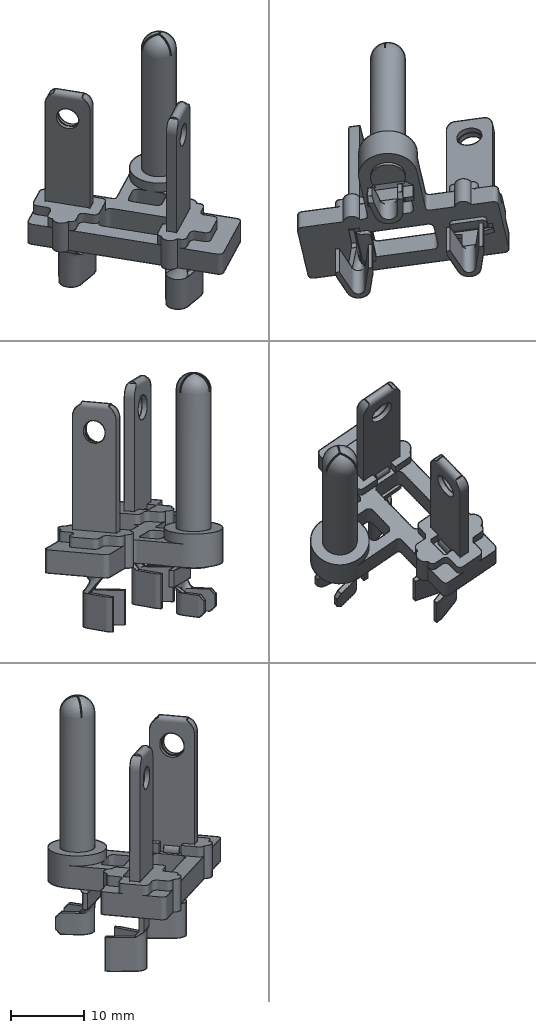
import cadquery as cq
import math

PLATE_LENGTH = 27.8
PLATE_DEPTH = 9.35
PLATE_TOP = 3.25
PAD_TOP = 4.7
CORNER_RADIUS = 0.7
ARM_FILLET = 0.5
WINDOW_LENGTH = 9.05
WINDOW_DEPTH = 4.55
WINDOW_Y = -0.07
LOBE_RADIUS = 1.23
LOBE_REACH = 5.45
LOBE_XS = (-9.1, 6.35)
PAD_BAR_HALF_DEPTH = 2.15
LEFT_COLUMN_HALF_WIDTH = 2.0
RIGHT_COLUMN_WIDTH = 4.15
RIGHT_PAD_LENGTH = 6.8

PIN_Y = 11.83
PIN_RADIUS = 2.4
PIN_TOP = 26.37
PIN_BOTTOM = -0.5
COLLAR_RADIUS = 4.0
ARM_WINDOW_DEPTH = 3.2
FLAG_WIDTH = 6.4
FLAG_TOP = -0.77
FLAG_BOTTOM = -3.12
FLAG_ROOT_DEPTH = 1.45
FLAG_NECK_WIDTH = 4.05
GROOVE_ANGLES = (90, 210, 330)
GROOVE_WIDTH = 0.15
GROOVE_DEPTH = 0.1
GROUND_CRIMP_TOP = -4.15
GROUND_CRIMP_BOTTOM = -7.25
GROUND_CRIMP_CHAMFER = 0.7

SHEET = 0.75
BLADE_WIDTH = 6.4
BLADE_TOP = 22.58
BLADE_FOLD_RADIUS = 0.7
FOLD_WIDTH = 4.07
SHOULDER_DROP = 0.25
SHOULDER_BASE_DROP = 2.07
NECK_LAYER_HOLE_DIAMETER = 3.15
TAB_LAYER_HOLE_DIAMETER = 3.45
BLADE_HOLE_Z = 18.6
FOOT_EDGE_Z = -0.2
FOOT_BOTTOM = -0.63
NECK_WIDTH = 2.35
TAB_WIDTH = 5.13
TAB_THICKNESS = 0.7
TAB_BEND_START = 0.15
TAB_BEND_RADIUS = 1.05
TAB_CORNER_RADIUS = 0.6
TAB_REACH = 2.15
CATCH_WIDTH = 2.2
CATCH_DEPTH = 0.4
CATCH_TOP = 4.2
CATCH_RADIUS = 1.02
POCKET_WIDTH = 3.15
POCKET_REACH = 2.18
POCKET_RADIUS = 0.3
BLADE_CRIMP_TOP = -3.9
BLADE_CRIMP_BOTTOM = -8.75

LEFT_BLADE = dict(x=-9.3, y=0.1, turn=0, neck_bottom=-3.1, crimp_y=-0.63)
RIGHT_BLADE = dict(x=6.25, y=0.0, turn=90, neck_bottom=-1.6, crimp_y=-1.8)

BLADE_CRIMP = dict(radius=1.65, flare=17, bend=4.32, depth=5.13)
GROUND_CRIMP = dict(radius=1.95, flare=10.6, bend=4.07, depth=4.8)


def block(x0, x1, y0, y1, z0, z1):
    return cq.Workplane("XY").box(x1 - x0, y1 - y0, z1 - z0, centered=False).translate((x0, y0, z0))


def placed(shape, blade):
    """Moves a shape from the blade's own axes to its place in the frame."""
    return shape.rotate((0, 0, 0), (0, 0, 1), blade["turn"]).translate((blade["x"], blade["y"], 0))


def u_point(radius, flare, side):
    """Point where the round bottom of a U meets its flared arm, from the centre of the arc."""
    angle = math.radians(flare)
    return (side * radius * math.cos(angle), -radius * math.sin(angle))


def crimp_channel(crimp, top, bottom):
    """U channel open towards +Y, with the lowest point of the U at Y = 0."""
    radius, flare = crimp["radius"], crimp["flare"]
    inner_radius = radius - SHEET
    slope = math.tan(math.radians(flare))
    bend_y = crimp["bend"] - radius
    tip_y = crimp["depth"] - radius
    outer_x, outer_y = u_point(radius, flare, 1)
    inner_x, inner_y = u_point(inner_radius, flare, 1)
    bend_x = outer_x + (bend_y - outer_y) * slope
    inner_tip_x = inner_x + (tip_y - inner_y) * slope
    return (
        cq.Workplane("XY", origin=(0, radius, bottom))
        .moveTo(-outer_x, outer_y)
        .threePointArc((0, -radius), (outer_x, outer_y))
        .lineTo(bend_x, bend_y)
        .lineTo(bend_x, tip_y)
        .lineTo(inner_tip_x, tip_y)
        .lineTo(inner_x, inner_y)
        .threePointArc((0, -inner_radius), (-inner_x, inner_y))
        .lineTo(-inner_tip_x, tip_y)
        .lineTo(-bend_x, tip_y)
        .lineTo(-bend_x, bend_y)
        .close()
        .extrude(top - bottom)
    )


def ruled_blend(lower_edges, upper_edges):
    """Solid between two closed outlines, with a ruled face between each pair of matching edges."""
    faces = [cq.Face.makeRuledSurface(low, high) for low, high in zip(lower_edges, upper_edges)]
    for edges in (lower_edges, upper_edges):
        faces.append(cq.Face.makeFromWires(cq.Wire.assembleEdges(edges)))
    return cq.Workplane(cq.Solid.makeSolid(cq.Shell.makeShell(faces)))


def closed_lines(corners, z):
    """Straight edges joining the corners in turn and back to the first."""
    points = [cq.Vector(x, y, z) for x, y in corners]
    return [cq.Edge.makeLine(start, end) for start, end in zip(points, points[1:] + points[:1])]


def crimp_throat(crimp, place, top, strip, strip_z):
    """Blend from the round bottom of a crimp to a flat strip, given by its four corners."""
    radius = crimp["radius"]
    inner_radius = radius - SHEET
    x, y = place

    def at(point):
        return cq.Vector(x + point[0], y + radius + point[1], top)

    outer_left, outer_right = [at(u_point(radius, crimp["flare"], side)) for side in (-1, 1)]
    inner_left, inner_right = [at(u_point(inner_radius, crimp["flare"], side)) for side in (-1, 1)]
    arc_band = [
        cq.Edge.makeThreePointArc(outer_left, at((0, -radius)), outer_right),
        cq.Edge.makeLine(outer_right, inner_right),
        cq.Edge.makeThreePointArc(inner_right, at((0, -inner_radius)), inner_left),
        cq.Edge.makeLine(inner_left, outer_left),
    ]
    return ruled_blend(arc_band, closed_lines(strip, strip_z))


def raised_cross(x0, x1, column_x0, column_x1):
    """Raised pad: a bar along X crossed by a column as deep as the plate, corners rounded."""
    half = PLATE_DEPTH / 2
    bar = block(x0, x1, -PAD_BAR_HALF_DEPTH, PAD_BAR_HALF_DEPTH, 0, PAD_TOP)
    column = block(column_x0, column_x1, -half, half, 0, PAD_TOP)
    return bar.union(column).clean().edges("|Z").fillet(CORNER_RADIUS)


def frame_arm():
    """Arm from the plate to the ground-pin collar, with fillets in the corners at the plate."""
    edge_y = PLATE_DEPTH / 2
    arm = block(-COLLAR_RADIUS, COLLAR_RADIUS, 0, PIN_Y, 0, PLATE_TOP)
    collar = cq.Workplane("XY").center(0, PIN_Y).circle(COLLAR_RADIUS).extrude(PAD_TOP)
    for side in (-1, 1):
        corner_fill = (
            cq.Workplane("XY")
            .moveTo(side * COLLAR_RADIUS, edge_y)
            .lineTo(side * (COLLAR_RADIUS + ARM_FILLET), edge_y)
            .radiusArc((side * COLLAR_RADIUS, edge_y + ARM_FILLET), side * ARM_FILLET)
            .close()
            .extrude(PLATE_TOP)
        )
        arm = arm.union(corner_fill)
    return arm.union(collar)


def blade_slot(blade):
    """Slot for the folded blade, and the shallow pocket beside it for the catch."""
    half = BLADE_WIDTH / 2
    slot = block(-half, half, -SHEET, SHEET, 0, PAD_TOP)
    pocket = block(-POCKET_WIDTH / 2, POCKET_WIDTH / 2, 0, POCKET_REACH, PLATE_TOP, PAD_TOP)
    pocket = pocket.edges("|Z and >Y").fillet(POCKET_RADIUS)
    return placed(slot.union(pocket), blade)


def build_frame():
    half_length, half_window = PLATE_LENGTH / 2, WINDOW_LENGTH / 2
    plate = cq.Workplane("XY").box(PLATE_LENGTH, PLATE_DEPTH, PLATE_TOP, centered=(True, True, False))
    frame = plate.edges("|Z").fillet(CORNER_RADIUS).union(frame_arm())

    left_x = LOBE_XS[0]
    left_columns = (left_x - LEFT_COLUMN_HALF_WIDTH, left_x + LEFT_COLUMN_HALF_WIDTH)
    frame = frame.union(raised_cross(-half_length, -half_window, *left_columns))
    right_columns = (half_window, half_window + RIGHT_COLUMN_WIDTH)
    frame = frame.union(raised_cross(half_window, half_window + RIGHT_PAD_LENGTH, *right_columns))

    lobe_y = LOBE_REACH - LOBE_RADIUS
    lobe_centres = [(x, side * lobe_y) for x in LOBE_XS for side in (-1, 1)]
    frame = frame.union(cq.Workplane("XY").pushPoints(lobe_centres).circle(LOBE_RADIUS).extrude(PAD_TOP))

    window = (
        cq.Workplane("XY")
        .center(0, WINDOW_Y)
        .rect(WINDOW_LENGTH, WINDOW_DEPTH)
        .extrude(PLATE_TOP)
        .edges("|Z")
        .fillet(CORNER_RADIUS)
    )
    arm_window = (
        cq.Workplane("XY")
        .center(0, (PLATE_DEPTH + ARM_WINDOW_DEPTH) / 2)
        .rect(2 * PIN_RADIUS, ARM_WINDOW_DEPTH)
        .extrude(PAD_TOP)
        .edges("|Z")
        .fillet(CORNER_RADIUS)
    )
    pin_hole = cq.Workplane("XY").center(0, PIN_Y).circle(PIN_RADIUS).extrude(PAD_TOP)
    frame = frame.cut(window).cut(arm_window).cut(pin_hole)
    for blade in (LEFT_BLADE, RIGHT_BLADE):
        frame = frame.cut(blade_slot(blade))
    return frame


def flag_corners(width):
    """Corners of a strip flush with the front of the pin, starting at the front left."""
    half = width / 2
    front_y = PIN_Y - PIN_RADIUS
    back_y = front_y + SHEET
    return [(-half, front_y), (half, front_y), (half, back_y), (-half, back_y)]


def flag_root():
    """Blend from the flag to the front part of the pin's round end."""

    def rim(angle):
        turn = math.radians(angle)
        return cq.Vector(PIN_RADIUS * math.sin(turn), PIN_Y - PIN_RADIUS * math.cos(turn), PIN_BOTTOM)

    side = math.degrees(math.acos(1 - FLAG_ROOT_DEPTH / PIN_RADIUS))
    front = side / 2
    middle = (side + front) / 2
    rim_edges = [
        cq.Edge.makeThreePointArc(rim(-front), rim(0), rim(front)),
        cq.Edge.makeThreePointArc(rim(front), rim(middle), rim(side)),
        cq.Edge.makeLine(rim(side), rim(-side)),
        cq.Edge.makeThreePointArc(rim(-side), rim(-middle), rim(-front)),
    ]
    return ruled_blend(closed_lines(flag_corners(FLAG_WIDTH), FLAG_TOP), rim_edges)


def dome_grooves():
    """Three fine grooves that run down the dome from its tip, evenly spaced."""
    dome_base = PIN_TOP - PIN_RADIUS
    slots = cq.Workplane("XY")
    for angle in GROOVE_ANGLES:
        slot = block(0, PIN_RADIUS, -GROOVE_WIDTH / 2, GROOVE_WIDTH / 2, 0, PIN_RADIUS)
        slots = slots.union(slot.rotate((0, 0, 0), (0, 0, 1), angle))
    core = cq.Workplane("XY").sphere(PIN_RADIUS - GROOVE_DEPTH)
    return slots.cut(core).translate((0, PIN_Y, dome_base))


def build_ground_pin():
    dome_base = PIN_TOP - PIN_RADIUS
    front_y = PIN_Y - PIN_RADIUS
    shaft_length = dome_base - PIN_BOTTOM
    shaft = cq.Workplane("XY", origin=(0, PIN_Y, PIN_BOTTOM)).circle(PIN_RADIUS).extrude(shaft_length)
    dome = cq.Workplane("XY", origin=(0, PIN_Y, dome_base)).sphere(PIN_RADIUS)
    pin = shaft.union(dome).cut(dome_grooves())

    flag = (
        cq.Workplane("XY", origin=(0, 0, FLAG_BOTTOM))
        .polyline(flag_corners(FLAG_WIDTH))
        .close()
        .extrude(FLAG_TOP - FLAG_BOTTOM)
    )
    neck_strip = flag_corners(FLAG_NECK_WIDTH)
    throat = crimp_throat(GROUND_CRIMP, (0, front_y), GROUND_CRIMP_TOP, neck_strip, FLAG_BOTTOM)
    crimp = crimp_channel(GROUND_CRIMP, GROUND_CRIMP_TOP, GROUND_CRIMP_BOTTOM)
    crimp = crimp.faces(">Y").edges("|X").chamfer(GROUND_CRIMP_CHAMFER).translate((0, front_y, 0))
    return pin.union(flag_root()).union(flag).union(throat).union(crimp)


def layer_outline(y0, hole_diameter):
    """Face shape of one sheet layer: rounded shoulders beside the fold ridge, and the hole."""
    half, half_fold = BLADE_WIDTH / 2, FOLD_WIDTH / 2
    shoulder_top = BLADE_TOP - SHOULDER_DROP
    shoulder_base = BLADE_TOP - SHOULDER_BASE_DROP
    inset = half - half_fold
    rise = shoulder_top - shoulder_base
    shoulder_radius = (inset**2 + rise**2) / (2 * inset)
    face_plane = cq.Workplane("XZ", origin=(0, y0 + SHEET, 0))
    outline = (
        face_plane.moveTo(-half, 0)
        .lineTo(half, 0)
        .lineTo(half, shoulder_base)
        .radiusArc((half_fold, shoulder_top), -shoulder_radius)
        .lineTo(half_fold, BLADE_TOP)
        .lineTo(-half_fold, BLADE_TOP)
        .lineTo(-half_fold, shoulder_top)
        .radiusArc((-half, shoulder_base), -shoulder_radius)
        .close()
        .extrude(SHEET)
    )
    hole = face_plane.center(0, BLADE_HOLE_Z).circle(hole_diameter / 2).extrude(SHEET)
    return outline.cut(hole)


def blade_body():
    """Folded sheet with its width along X, the fold plane at Y = 0 and its tab towards +Y."""
    half = BLADE_WIDTH / 2
    sheet = block(-half, half, -SHEET, SHEET, 0, BLADE_TOP)
    sheet = sheet.edges("|X and >Z").fillet(BLADE_FOLD_RADIUS)
    tab_layer = layer_outline(0, TAB_LAYER_HOLE_DIAMETER)
    neck_layer = layer_outline(-SHEET, NECK_LAYER_HOLE_DIAMETER)
    return sheet.intersect(tab_layer.union(neck_layer))


def blade_tab():
    """End of the tab layer, bent out flat under the plate."""
    bend_end = TAB_BEND_START + math.sqrt(TAB_THICKNESS * (2 * TAB_BEND_RADIUS - TAB_THICKNESS))
    bend = (
        cq.Workplane("YZ", origin=(-TAB_WIDTH / 2, 0, 0))
        .moveTo(TAB_BEND_START, 0)
        .radiusArc((bend_end, -TAB_THICKNESS), -TAB_BEND_RADIUS)
        .lineTo(bend_end, 0)
        .close()
        .extrude(TAB_WIDTH)
    )
    flat = block(-TAB_WIDTH / 2, TAB_WIDTH / 2, bend_end, TAB_REACH, -TAB_THICKNESS, 0)
    return bend.union(flat.edges("|Z and >Y").fillet(TAB_CORNER_RADIUS))


def blade_catch():
    """Rounded catch on the tab layer that rests on the floor of the pocket."""
    return (
        cq.Workplane("YZ", origin=(-CATCH_WIDTH / 2, 0, 0))
        .moveTo(SHEET, PLATE_TOP)
        .lineTo(SHEET + CATCH_DEPTH, PLATE_TOP)
        .radiusArc((SHEET, CATCH_TOP), -CATCH_RADIUS)
        .close()
        .extrude(CATCH_WIDTH)
    )


def blade_foot(neck_bottom):
    """End of the neck layer, tapering below the plate to a narrow neck."""
    half, half_neck = BLADE_WIDTH / 2, NECK_WIDTH / 2
    return (
        cq.Workplane("XZ")
        .moveTo(-half, 0)
        .lineTo(half, 0)
        .lineTo(half, FOOT_EDGE_Z)
        .lineTo(half_neck, FOOT_BOTTOM)
        .lineTo(half_neck, neck_bottom)
        .lineTo(-half_neck, neck_bottom)
        .lineTo(-half_neck, FOOT_BOTTOM)
        .lineTo(-half, FOOT_EDGE_Z)
        .close()
        .extrude(SHEET)
    )


def build_blade(blade):
    neck_bottom = blade["neck_bottom"]
    body = blade_body().union(blade_foot(neck_bottom)).union(blade_tab()).union(blade_catch())
    body = placed(body, blade)

    half_neck = NECK_WIDTH / 2
    corners = [(-half_neck, -SHEET), (half_neck, -SHEET), (half_neck, 0), (-half_neck, 0)]
    turn = math.radians(blade["turn"])
    strip = [
        (
            blade["x"] + u * math.cos(turn) - v * math.sin(turn),
            blade["y"] + u * math.sin(turn) + v * math.cos(turn),
        )
        for u, v in corners
    ]
    crimp_place = (blade["x"], blade["crimp_y"])
    throat = crimp_throat(BLADE_CRIMP, crimp_place, BLADE_CRIMP_TOP, strip, neck_bottom)
    crimp = crimp_channel(BLADE_CRIMP, BLADE_CRIMP_TOP, BLADE_CRIMP_BOTTOM).translate((*crimp_place, 0))
    return body.union(throat).union(crimp)


frame = build_frame()
ground_pin = build_ground_pin()
blades = [build_blade(blade) for blade in (LEFT_BLADE, RIGHT_BLADE)]

bodies = [frame, ground_pin, *blades]
result = cq.Compound.makeCompound([body.solids().val() for body in bodies])